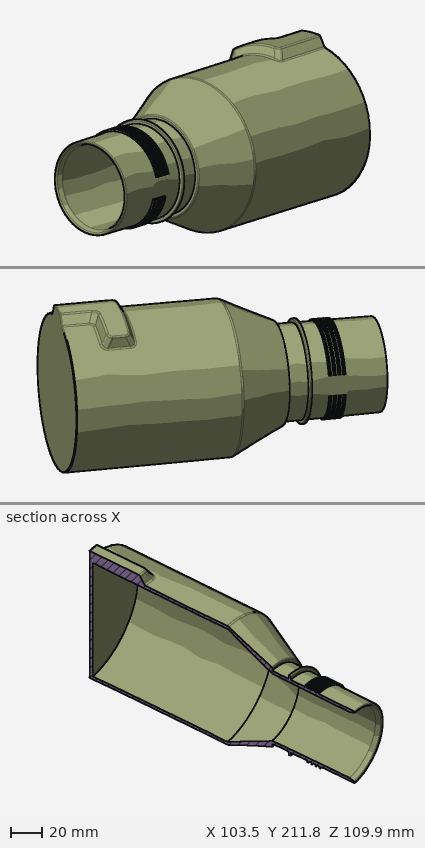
import cadquery as cq
import math

LENGTH = 211.8
WALL = 3.0
EDGE_ROUND = 0.6

BODY_END_DIAMETER = 103.5
BODY_END_RADIUS = BODY_END_DIAMETER / 2
BODY_CONE_RADIUS = 51.5
BODY_START = 101.2
BODY_CONE_ROUND = 3.2

SHOULDER_Y = 65.6
SHOULDER_RADIUS = 34.3
SHOULDER_ROUND = 1.0

NECK_TOP_RADIUS = 31.8
NECK_MOUTH_RADIUS = 31.1
LEAD_IN_DEPTH = 4.2
LEAD_IN_RADIUS = 29.5
LEAD_IN_ROUND = 1.0

COLLAR_START = 50.8
COLLAR_WIDTH = 2.1
COLLAR_RADIUS = 34.3

THREAD_PITCH = 3.2
THREAD_TURNS = 4
THREAD_FIRST_Y = 39.8
THREAD_CREST_RADIUS = 32.6
THREAD_ROOT_RADIUS = 31.0
THREAD_ROOT_WIDTH = 2.1
THREAD_CREST_WIDTH = 1.0
THREAD_GAP_HALF_ANGLE = 13.0

LUG_HEIGHT = 6.4
LUG_RADIUS = BODY_END_RADIUS + LUG_HEIGHT
LUG_OVERLAP = 1.3
LUG_ROOT_RADIUS = BODY_CONE_RADIUS - LUG_OVERLAP
LUG_DRAFT = 30.0
LEG_HALF_WIDTH = 8.0
ARM_END_X = -32.8
ARM_LOW_Y = 171.3
ARM_HIGH_Y = 187.2
ARM_TILT = 2.7
LUG_CORNER_RADIUS = 4.2
LUG_EDGE_ROUND = 1.7

CLEARANCE = 2.1
TOLERANCE = 0.02

DRAFT_SLOPE = math.tan(math.radians(LUG_DRAFT))


def revolve_about_y(points):
    """Revolve a closed (radius, y) outline about the Y axis."""
    return cq.Workplane("XY").polyline(points).close().revolve(360, (0, 0, 0), (0, 1, 0))


def edges_at_radius_and_y(solid, radius, y):
    """Select the circular edge that has the given radius and height on the Y axis."""
    picked = [
        edge
        for edge in solid.edges("%CIRCLE").vals()
        if abs(edge.radius() - radius) < TOLERANCE and abs(edge.Center().y - y) < TOLERANCE
    ]
    return solid.newObject(picked)


def make_outer_body():
    body = revolve_about_y(
        [
            (0, 0),
            (NECK_MOUTH_RADIUS, 0),
            (NECK_TOP_RADIUS, SHOULDER_Y),
            (SHOULDER_RADIUS, SHOULDER_Y),
            (BODY_CONE_RADIUS, BODY_START),
            (BODY_END_RADIUS, LENGTH),
            (0, LENGTH),
        ]
    )
    body = edges_at_radius_and_y(body, SHOULDER_RADIUS, SHOULDER_Y).fillet(SHOULDER_ROUND)
    body = edges_at_radius_and_y(body, BODY_CONE_RADIUS, BODY_START).fillet(BODY_CONE_ROUND)
    return edges_at_radius_and_y(body, NECK_MOUTH_RADIUS, 0).fillet(EDGE_ROUND)


def make_cavity():
    """Blind cavity that follows the outside at one wall thickness."""
    return revolve_about_y(
        [
            (0, 0),
            (LEAD_IN_RADIUS, 0),
            (NECK_MOUTH_RADIUS - WALL, LEAD_IN_DEPTH),
            (NECK_TOP_RADIUS - WALL, SHOULDER_Y),
            (BODY_CONE_RADIUS - WALL, BODY_START),
            (BODY_END_RADIUS - WALL, LENGTH - WALL),
            (0, LENGTH - WALL),
        ]
    )


def make_collar():
    return (
        cq.Workplane("XZ", origin=(0, COLLAR_START, 0))
        .circle(COLLAR_RADIUS)
        .circle(THREAD_ROOT_RADIUS)
        .extrude(-COLLAR_WIDTH)
        .faces("%CYLINDER")
        .edges()
        .edges(cq.selectors.RadiusNthSelector(-1))
        .fillet(EDGE_ROUND)
    )


def extrude_along_y(points):
    """Extrude a closed (x, z) outline from Y = 0 past the closed end."""
    return cq.Workplane("XZ").polyline(points).close().extrude(-(LENGTH + CLEARANCE))


def make_sharp_lug():
    """L-shaped lug whose side walls lean outward toward the body."""
    ring = revolve_about_y(
        [
            (LUG_ROOT_RADIUS, ARM_LOW_Y - (LUG_RADIUS - LUG_ROOT_RADIUS) * DRAFT_SLOPE),
            (LUG_RADIUS, ARM_LOW_Y),
            (LUG_RADIUS, LENGTH),
            (LUG_ROOT_RADIUS, LENGTH),
        ]
    )

    leg_top_z = math.sqrt(LUG_RADIUS**2 - LEG_HALF_WIDTH**2)
    high_z = LUG_RADIUS + CLEARANCE
    low_z = math.sqrt(LUG_ROOT_RADIUS**2 - ARM_END_X**2) - CLEARANCE
    high_half_width = LEG_HALF_WIDTH - (high_z - leg_top_z) * DRAFT_SLOPE
    low_half_width = LEG_HALF_WIDTH + (leg_top_z - low_z) * DRAFT_SLOPE
    span = extrude_along_y(
        [(ARM_END_X, low_z), (ARM_END_X, high_z), (high_half_width, high_z), (low_half_width, low_z)]
    )

    notch_reach = LUG_RADIUS + CLEARANCE
    notch_top_y = LENGTH + LUG_RADIUS
    beside_leg = extrude_along_y(
        [(-notch_reach, low_z), (-low_half_width, low_z), (-high_half_width, high_z), (-notch_reach, high_z)]
    )
    above_arm = revolve_about_y(
        [
            (0, ARM_HIGH_Y + LUG_RADIUS * DRAFT_SLOPE),
            (notch_reach, ARM_HIGH_Y - CLEARANCE * DRAFT_SLOPE),
            (notch_reach, notch_top_y),
            (0, notch_top_y),
        ]
    ).rotate((-LEG_HALF_WIDTH, ARM_HIGH_Y, 0), (-LEG_HALF_WIDTH, ARM_HIGH_Y, 1), ARM_TILT)
    return ring.intersect(span).cut(beside_leg.intersect(above_arm))


def round_lug_edges(solid, low_radius, high_radius):
    """Round the edges around the lug that lie between two radii, except at the closed end."""
    lug_start = ARM_LOW_Y - 2 * LUG_HEIGHT
    lug_stop = LENGTH - TOLERANCE
    picked = []
    for edge in solid.edges().vals():
        middle = edge.positionAt(0.5)
        in_band = low_radius < math.hypot(middle.x, middle.z) < high_radius
        if in_band and lug_start < middle.y < lug_stop:
            picked.append(edge)
    return solid.newObject(picked).fillet(LUG_EDGE_ROUND)


def make_lug():
    lug = make_sharp_lug().edges("%HYPERBOLA").fillet(LUG_CORNER_RADIUS)
    return round_lug_edges(lug, LUG_RADIUS - TOLERANCE, LUG_RADIUS + TOLERANCE)


def make_thread_rib(first_y, start_angle, sweep_angle):
    """One helical rib; angles run from +X over +Z, and the rib advances toward -Y."""
    rise = THREAD_PITCH * sweep_angle / 360
    path = cq.Wire.makeHelix(THREAD_PITCH, rise, THREAD_ROOT_RADIUS)
    rib = (
        cq.Workplane("XZ")
        .polyline(
            [
                (THREAD_ROOT_RADIUS, -THREAD_ROOT_WIDTH / 2),
                (THREAD_CREST_RADIUS, -THREAD_CREST_WIDTH / 2),
                (THREAD_CREST_RADIUS, THREAD_CREST_WIDTH / 2),
                (THREAD_ROOT_RADIUS, THREAD_ROOT_WIDTH / 2),
            ]
        )
        .close()
        .sweep(cq.Workplane(path), isFrenet=True)
    )
    start_y = first_y - THREAD_PITCH * start_angle / 360
    return (
        rib.rotate((0, 0, 0), (0, 0, 1), start_angle)
        .rotate((0, 0, 0), (1, 0, 0), 90)
        .translate((0, start_y, 0))
    )


def add_thread(neck):
    """Each turn is an upper and a lower rib with gaps at +X and -X."""
    rib_sweep = 180 - 2 * THREAD_GAP_HALF_ANGLE
    for turn in range(THREAD_TURNS):
        first_y = THREAD_FIRST_Y - turn * THREAD_PITCH
        for half_start in (0, 180):
            neck = neck.union(make_thread_rib(first_y, half_start + THREAD_GAP_HALF_ANGLE, rib_sweep))
    return neck


result = make_outer_body().union(make_lug())
result = round_lug_edges(result, BODY_CONE_RADIUS - TOLERANCE, BODY_END_RADIUS + TOLERANCE)
result = result.faces(">Y").edges().fillet(EDGE_ROUND)

result = result.cut(make_cavity())
result = edges_at_radius_and_y(result, LEAD_IN_RADIUS, 0).fillet(LEAD_IN_ROUND)

result = result.union(make_collar())
result = add_thread(result)